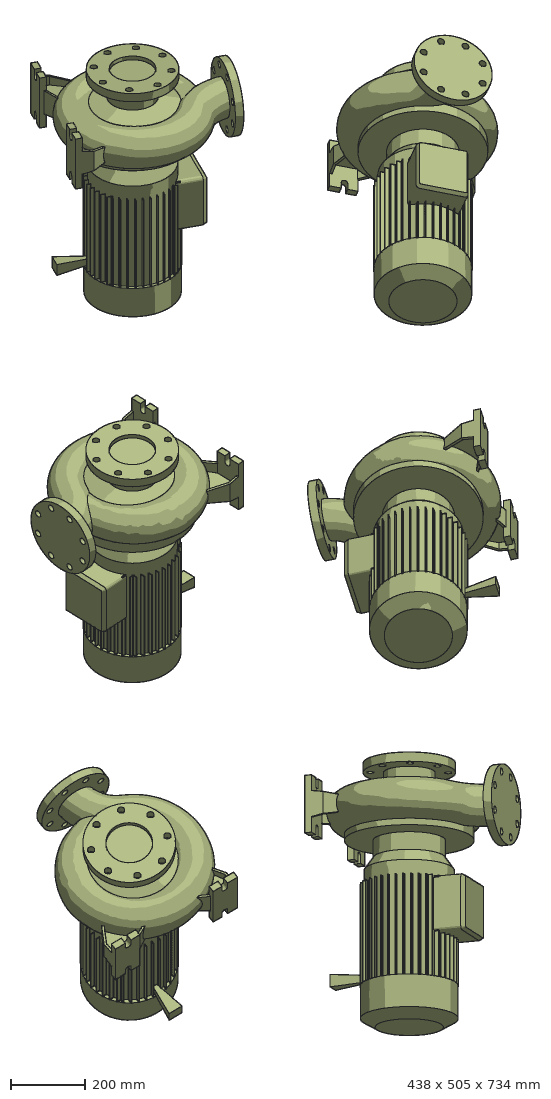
import math

import cadquery as cq


VOLUTE_OFFSET_X = 14.25
VOLUTE_OUTER_RADIUS = 219.0
PIPE_RADIUS = 57.15
VOLUTE_MEAN_RADIUS = VOLUTE_OUTER_RADIUS - PIPE_RADIUS
VOLUTE_INNER_RADIUS = VOLUTE_MEAN_RADIUS - PIPE_RADIUS
TAPER_START_ANGLE = 180.0
TAPER_END_ANGLE = 70.0
TAPER_END_PIPE_RADIUS = 46.0
TAPER_SECTIONS = 6

DISCHARGE_FACE_Y = 280.0
DISCHARGE_FLANGE_DIAMETER = 220.0
DISCHARGE_FLANGE_THICKNESS = 24.0
DISCHARGE_BOLT_CIRCLE = 180.0

SUCTION_FACE_Z = 140.0
SUCTION_FLANGE_DIAMETER = 250.0
SUCTION_FLANGE_THICKNESS = 26.0
SUCTION_BOLT_CIRCLE = 210.0
SUCTION_NECK_RADIUS = 69.85
SUCTION_RECESS_DIAMETER = 126.0
SUCTION_RECESS_DEPTH = 12.0

BOLT_COUNT = 8
BOLT_HOLE_DIAMETER = 19.0

CASING_NECK_Z = 52.0
CASING_SHOULDER_RADIUS = 145.0
CASING_SHOULDER_Z = 37.0
BACK_DISC_RADIUS = 175.0
BACK_DISC_Z = -75.0

LANTERN_RADIUS = 98.0
LANTERN_BOTTOM_Z = -124.0
MOTOR_RADIUS = 122.0
MOTOR_TOP_Z = -158.0
FAN_COVER_RADIUS = 132.0
FAN_COVER_TOP_Z = -479.0
FAN_COVER_EDGE_Z = -570.0
FAN_COVER_END_RADIUS = 92.0
MOTOR_END_Z = -594.0

FIN_TIP_RADIUS = 133.3
FIN_PITCH_RADIUS = 135.0
FIN_THICKNESS = 2.0
FIN_TOP_Z = -198.5
FIN_PITCH_ANGLE = 9.0
FIN_PAIRS_PER_SIDE = 5
FIN_ROOT_OFFSET = 80.0

BOX_WIDTH = 146.0
BOX_TOP_Z = FIN_TOP_Z
BOX_HEIGHT = 156.0
BOX_FACE_Y = 189.0
BOX_EDGE_RADIUS = 10.0
BOX_CHAMFER_DEPTH = 12.0
BOX_CHAMFER_INSET = 6.0

ARM_CENTER_Z = -449.0
ARM_TIP_Y = -221.0
ARM_TIP_WIDTH = 42.0
ARM_TIP_HEIGHT = 35.0
ARM_ROOT_Y = -121.0
ARM_ROOT_WIDTH = 13.0
ARM_ROOT_HEIGHT = 18.5

FOOT_FACE_Y = -225.0
FOOT_THICKNESS = 19.5
FOOT_OUTER_X = 200.0
FOOT_WIDTH = 80.0
FOOT_HEIGHT = 160.0
SLOT_X = 158.0
SLOT_WIDTH = 18.0
SLOT_DEPTH = 29.0

BRACKET_WALL = 7.0
BRACKET_BEND_Y = -172.0
BRACKET_OUTER_END = (141.0, -63.0)
BRACKET_INNER_END = (45.0, -168.0)
BRACKET_ROOT_HALF_HEIGHT = 36.5
BRACKET_TAPER = 0.17


def closed_outline(plane, points):
    """Closed straight-sided outline on a named plane."""
    return cq.Workplane(plane).polyline(points).close()


def bolt_holes(bolt_circle, thickness):
    """Bolt hole cutters along +Z, straddling the X and Y axes."""
    half_step = 180.0 / BOLT_COUNT
    return (
        cq.Workplane("XY")
        .polarArray(bolt_circle / 2, half_step, 360, BOLT_COUNT)
        .circle(BOLT_HOLE_DIAMETER / 2)
        .extrude(thickness)
    )


def flange(diameter, thickness, bolt_circle):
    """Drilled flange standing on the XY plane."""
    disc = cq.Workplane("XY").circle(diameter / 2).extrude(thickness)
    return disc.cut(bolt_holes(bolt_circle, thickness))


def pipe_bend(center_x, center_y, bend_radius, start_angle, sweep_angle):
    """Round pipe bent in the XY plane, turning counter-clockwise."""
    return (
        cq.Workplane("XZ")
        .center(bend_radius, 0)
        .circle(PIPE_RADIUS)
        .revolve(sweep_angle, (-bend_radius, 0), (-bend_radius, 1))
        .rotate((0, 0, 0), (0, 0, 1), start_angle)
        .translate((center_x, center_y, 0))
    )


def volute_taper():
    """Shrinking start of the volute; its inner edge keeps a constant radius."""
    sections = []
    for index in range(TAPER_SECTIONS):
        fraction = index / (TAPER_SECTIONS - 1)
        angle = math.radians(TAPER_START_ANGLE + fraction * (TAPER_END_ANGLE - TAPER_START_ANGLE))
        radius = PIPE_RADIUS + fraction * (TAPER_END_PIPE_RADIUS - PIPE_RADIUS)
        mean_radius = VOLUTE_INNER_RADIUS + radius
        center = cq.Vector(
            VOLUTE_OFFSET_X + mean_radius * math.cos(angle),
            mean_radius * math.sin(angle),
            0,
        )
        tangent = cq.Vector(-math.sin(angle), math.cos(angle), 0)
        sections.append(cq.Wire.makeCircle(radius, center, tangent))
    return cq.Workplane(cq.Solid.makeLoft(sections))


def volute():
    """Volute ring and the reverse bend that ends square to the discharge flange."""
    bend_radius = (VOLUTE_OFFSET_X**2 + DISCHARGE_FACE_Y**2 - VOLUTE_MEAN_RADIUS**2) / (
        2 * (VOLUTE_MEAN_RADIUS + VOLUTE_OFFSET_X)
    )
    bend_angle = math.degrees(math.atan2(DISCHARGE_FACE_Y, bend_radius - VOLUTE_OFFSET_X))
    ring = pipe_bend(VOLUTE_OFFSET_X, 0, VOLUTE_MEAN_RADIUS, 180, 180 + bend_angle)
    outlet = pipe_bend(bend_radius, DISCHARGE_FACE_Y, bend_radius, 180, bend_angle)
    return ring.union(outlet).union(volute_taper())


def discharge_flange():
    return (
        flange(DISCHARGE_FLANGE_DIAMETER, DISCHARGE_FLANGE_THICKNESS, DISCHARGE_BOLT_CIRCLE)
        .rotate((0, 0, 0), (1, 0, 0), 90)
        .translate((0, DISCHARGE_FACE_Y, 0))
    )


def suction_flange():
    return flange(
        SUCTION_FLANGE_DIAMETER, SUCTION_FLANGE_THICKNESS, SUCTION_BOLT_CIRCLE
    ).translate((0, 0, SUCTION_FACE_Z - SUCTION_FLANGE_THICKNESS))


def suction_recess():
    return (
        cq.Workplane("XY", origin=(0, 0, SUCTION_FACE_Z))
        .circle(SUCTION_RECESS_DIAMETER / 2)
        .extrude(-SUCTION_RECESS_DEPTH)
    )


def turned_body():
    """Suction neck, casing core, lantern, motor and fan cover in one revolved profile."""
    profile = [
        (0, SUCTION_FACE_Z),
        (SUCTION_NECK_RADIUS, SUCTION_FACE_Z),
        (SUCTION_NECK_RADIUS, CASING_NECK_Z),
        (CASING_SHOULDER_RADIUS, CASING_SHOULDER_Z),
        (BACK_DISC_RADIUS, 0),
        (BACK_DISC_RADIUS, BACK_DISC_Z),
        (LANTERN_RADIUS, BACK_DISC_Z),
        (LANTERN_RADIUS, LANTERN_BOTTOM_Z),
        (MOTOR_RADIUS, MOTOR_TOP_Z),
        (MOTOR_RADIUS, FAN_COVER_TOP_Z),
        (FAN_COVER_RADIUS, FAN_COVER_TOP_Z),
        (FAN_COVER_RADIUS, FAN_COVER_EDGE_Z),
        (FAN_COVER_END_RADIUS, MOTOR_END_Z),
        (0, MOTOR_END_Z),
    ]
    return closed_outline("XZ", profile).revolve(360, (0, 0), (0, 1))


def cooling_fins():
    """Fins of all four sides, trimmed to a common tip radius."""
    length = FIN_TOP_Z - FAN_COVER_TOP_Z
    fin_plane = cq.Workplane("XY", origin=(0, 0, FAN_COVER_TOP_Z))
    offsets = []
    for index in range(FIN_PAIRS_PER_SIDE):
        offset = FIN_PITCH_RADIUS * math.sin(math.radians((index + 0.5) * FIN_PITCH_ANGLE))
        offsets += [offset, -offset]
    fin_span = FIN_TIP_RADIUS - FIN_ROOT_OFFSET
    fin_center = (FIN_TIP_RADIUS + FIN_ROOT_OFFSET) / 2
    side = (
        fin_plane.pushPoints([(fin_center, offset) for offset in offsets])
        .rect(fin_span, FIN_THICKNESS)
        .extrude(length)
    )
    fins = side
    for quarter in range(1, 4):
        fins = fins.union(side.rotate((0, 0, 0), (0, 0, 1), 90 * quarter))
    return fins.intersect(fin_plane.circle(FIN_TIP_RADIUS).extrude(length))


def terminal_box():
    box = (
        cq.Workplane("XY")
        .box(BOX_WIDTH, BOX_FACE_Y, BOX_HEIGHT, centered=(True, False, False))
        .edges("|Y")
        .fillet(BOX_EDGE_RADIUS)
        .faces(">Y")
        .chamfer(BOX_CHAMFER_INSET, BOX_CHAMFER_DEPTH)
    )
    return box.translate((0, 0, BOX_TOP_Z - BOX_HEIGHT))


def support_arm():
    return (
        cq.Workplane("XZ", origin=(0, ARM_ROOT_Y, ARM_CENTER_Z))
        .rect(ARM_ROOT_WIDTH, ARM_ROOT_HEIGHT)
        .workplane(offset=ARM_ROOT_Y - ARM_TIP_Y)
        .rect(ARM_TIP_WIDTH, ARM_TIP_HEIGHT)
        .loft(ruled=True)
    )


def foot_plate():
    """Foot plate on the +X side with a round-ended slot open at its top and bottom."""
    slot_inner_z = FOOT_HEIGHT / 2 - SLOT_DEPTH
    plate = (
        cq.Workplane("XY")
        .box(FOOT_WIDTH, FOOT_THICKNESS, FOOT_HEIGHT, centered=(True, False, True))
        .translate((FOOT_OUTER_X - FOOT_WIDTH / 2, FOOT_FACE_Y, 0))
    )
    for side in (1, -1):
        slot = (
            cq.Workplane("XZ", origin=(0, FOOT_FACE_Y, 0))
            .center(SLOT_X, side * (slot_inner_z + SLOT_DEPTH))
            .slot2D(2 * SLOT_DEPTH, SLOT_WIDTH, 90)
            .extrude(-FOOT_THICKNESS)
        )
        plate = plate.cut(slot)
    return plate


def foot_bracket():
    """Bracket on the +X side: walls thinning in height toward the volute, and a web."""
    foot_back_y = FOOT_FACE_Y + FOOT_THICKNESS
    wall_start_y = foot_back_y - BRACKET_WALL
    outline = [
        (FOOT_OUTER_X, wall_start_y),
        (FOOT_OUTER_X, BRACKET_BEND_Y),
        BRACKET_OUTER_END,
        BRACKET_INNER_END,
        (FOOT_OUTER_X - FOOT_WIDTH, wall_start_y),
    ]
    clear_height = 2 * BRACKET_ROOT_HALF_HEIGHT
    block = closed_outline("XY", outline).extrude(clear_height, both=True)
    inside = closed_outline("XY", outline).offset2D(-BRACKET_WALL)
    hollow = inside.extrude(clear_height, both=True)
    web = closed_outline("XY", outline).extrude(BRACKET_WALL / 2, both=True)

    end_y = BRACKET_OUTER_END[1]
    start_height = BRACKET_ROOT_HALF_HEIGHT + BRACKET_TAPER * BRACKET_WALL
    end_height = BRACKET_ROOT_HALF_HEIGHT - BRACKET_TAPER * (end_y - foot_back_y)
    side_outline = [
        (wall_start_y, -start_height),
        (end_y, -end_height),
        (end_y, end_height),
        (wall_start_y, start_height),
    ]
    side_shape = closed_outline("YZ", side_outline).extrude(FOOT_OUTER_X)
    return block.cut(hollow).intersect(side_shape).union(web)


def build():
    body = turned_body().union(cooling_fins()).union(terminal_box()).union(support_arm())
    body = body.union(volute())
    foot = foot_plate().union(foot_bracket())
    body = body.union(foot).union(foot.mirror("YZ"))
    body = body.union(discharge_flange()).union(suction_flange())
    return body.cut(suction_recess())


result = build()